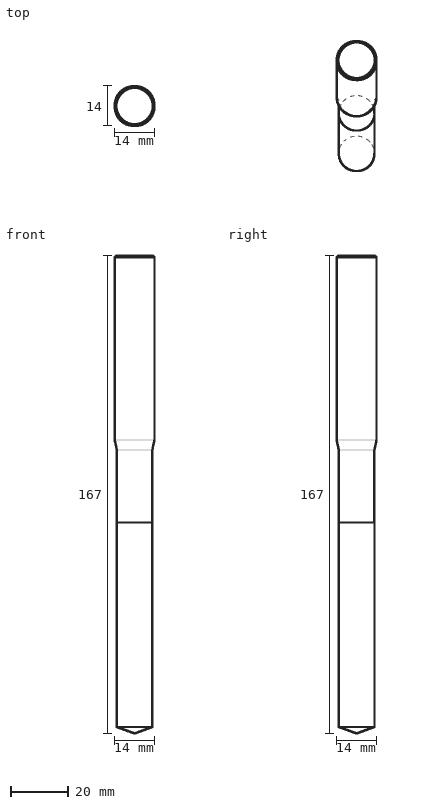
import cadquery as cq
import math

total_length = 167.0
shank_radius = 14.0 / 2
drill_radius = 12.5 / 2

joint_height = 73.8
neck_top = 99.0
shank_bottom = 102.5
end_chamfer = 0.7

point_angle = 140.0
point_height = drill_radius / math.tan(math.radians(point_angle / 2))


def make_holder():
    """Slim neck, taper and chamfered shank, turned about Z."""
    return (
        cq.Workplane("YZ")
        .moveTo(0, joint_height)
        .lineTo(-drill_radius, joint_height)
        .lineTo(-drill_radius, neck_top)
        .lineTo(-shank_radius, shank_bottom)
        .lineTo(-shank_radius, total_length - end_chamfer)
        .lineTo(-(shank_radius - end_chamfer), total_length)
        .lineTo(0, total_length)
        .close()
        .revolve(360, (0, 0), (0, 1))
    )


def make_cutting_head():
    """Plain cylinder with a conical point, turned about Z."""
    return (
        cq.Workplane("XZ")
        .lineTo(-drill_radius, point_height)
        .lineTo(-drill_radius, joint_height)
        .lineTo(0, joint_height)
        .close()
        .revolve(360, (0, 0), (0, 1))
    )


holder = make_holder()
cutting_head = make_cutting_head()

result = cq.Compound.makeCompound([holder.val(), cutting_head.val()])